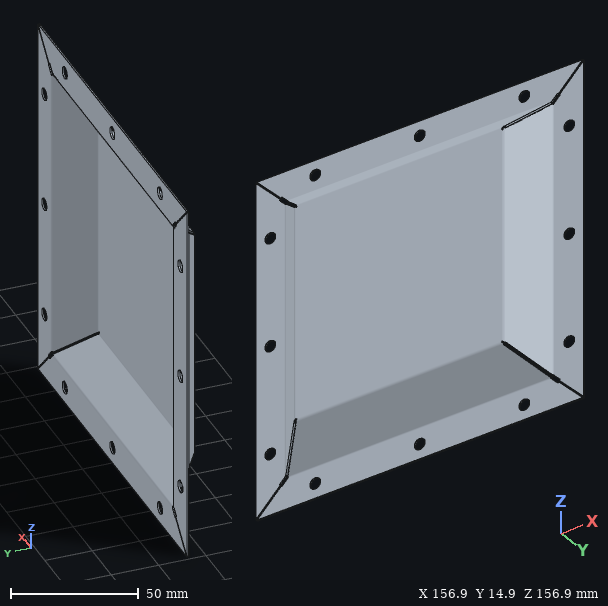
import cadquery as cq
import math

outer_side = 156.9
depth = 14.9
sheet = 0.8
inner_radius = 0.86
bend_angle = 45.0
panel_half = 50.0

seam_width = 0.5
relief_width = 1.5
relief_outer = 66.5
relief_inner = 63.4

hole_diameter = 5.0
hole_spacing = 50.0
hole_edge_distance = 6.9

outer_half = outer_side / 2
outer_radius = inner_radius + sheet
bend_sine = math.sin(math.radians(bend_angle))
bend_cosine = math.cos(math.radians(bend_angle))
bend_tangent = math.tan(math.radians(bend_angle))
half_bend_tangent = math.tan(math.radians(bend_angle / 2))

front_y = -depth
flange_front_y = -sheet
wall_run = (depth - sheet) / bend_tangent
panel_bend_u = panel_half - outer_radius * half_bend_tangent
flange_bend_u = panel_half + wall_run + inner_radius * half_bend_tangent
panel_center = (panel_bend_u, front_y + outer_radius)
flange_center = (flange_bend_u, flange_front_y - inner_radius)
mitre_start = seam_width / math.sqrt(2)


def bend_point(center, radius, turn, facing):
    """Point on a bend, turned from its flat end; facing is -1 for front, 1 for back."""
    angle = math.radians(turn)
    return (
        center[0] - facing * radius * math.sin(angle),
        center[1] + facing * radius * math.cos(angle),
    )


def side_sheet():
    """One bent side towards +X, mitred along both diagonals."""
    half_turn = bend_angle / 2
    profile = (
        cq.Workplane("XY")
        .moveTo(panel_bend_u, front_y)
        .threePointArc(
            bend_point(panel_center, outer_radius, half_turn, -1),
            bend_point(panel_center, outer_radius, bend_angle, -1),
        )
        .lineTo(*bend_point(flange_center, inner_radius, bend_angle, 1))
        .threePointArc(
            bend_point(flange_center, inner_radius, half_turn, 1),
            (flange_bend_u, flange_front_y),
        )
        .lineTo(outer_half, flange_front_y)
        .lineTo(outer_half, 0)
        .lineTo(flange_bend_u, 0)
        .threePointArc(
            bend_point(flange_center, outer_radius, half_turn, 1),
            bend_point(flange_center, outer_radius, bend_angle, 1),
        )
        .lineTo(*bend_point(panel_center, inner_radius, bend_angle, -1))
        .threePointArc(
            bend_point(panel_center, inner_radius, half_turn, -1),
            (panel_bend_u, front_y + sheet),
        )
        .close()
        .extrude(outer_half, both=True)
    )
    mitre_half = outer_half - mitre_start
    wedge = (
        cq.Workplane("XZ")
        .polyline([(mitre_start, 0), (outer_half, mitre_half), (outer_half, -mitre_half)])
        .close()
        .extrude(depth)
    )
    return profile.intersect(wedge)


def wall_trim():
    """Corner waste of one wall, so that its cut edge is square to the sheet."""
    inner_u, inner_y = bend_point(panel_center, inner_radius, bend_angle, -1)
    outer_u = bend_point(flange_center, outer_radius, bend_angle, 1)[0]
    wall_length = (outer_u - inner_u) / bend_cosine
    wall_back = cq.Plane(
        origin=(inner_u, inner_y, 0),
        xDir=(bend_cosine, bend_sine, 0),
        normal=(bend_sine, -bend_cosine, 0),
    )
    waste = (
        cq.Workplane(wall_back)
        .polyline([
            (0, inner_u - mitre_start),
            (wall_length, outer_u - mitre_start),
            (wall_length, outer_half),
            (0, outer_half),
        ])
        .close()
        .extrude(sheet)
    )
    return waste.union(waste.mirror("XY"))


def corner_relief():
    """Slot widening the seam at the flange bend of one corner."""
    length = (relief_outer - relief_inner) * math.sqrt(2)
    middle = (relief_outer + relief_inner) / math.sqrt(2)
    slot = cq.Workplane("XZ").center(middle, 0).rect(length, relief_width).extrude(depth)
    return slot.rotate((0, 0, 0), (0, 1, 0), 45)


def flange_holes():
    """Three holes through the +X flange."""
    row_u = outer_half - hole_edge_distance
    return (
        cq.Workplane("XZ")
        .pushPoints([(row_u, offset) for offset in (-hole_spacing, 0, hole_spacing)])
        .circle(hole_diameter / 2)
        .extrude(depth)
    )


panel_side = 2 * panel_bend_u
result = cq.Workplane("XZ", origin=(0, front_y + sheet, 0)).rect(panel_side, panel_side).extrude(sheet)

side = side_sheet().cut(wall_trim()).cut(flange_holes())
relief = corner_relief()
for corner_turn in (0, -90):
    side = side.cut(relief.rotate((0, 0, 0), (0, 1, 0), corner_turn))
for turn in (0, 90, 180, 270):
    result = result.union(side.rotate((0, 0, 0), (0, 1, 0), turn))